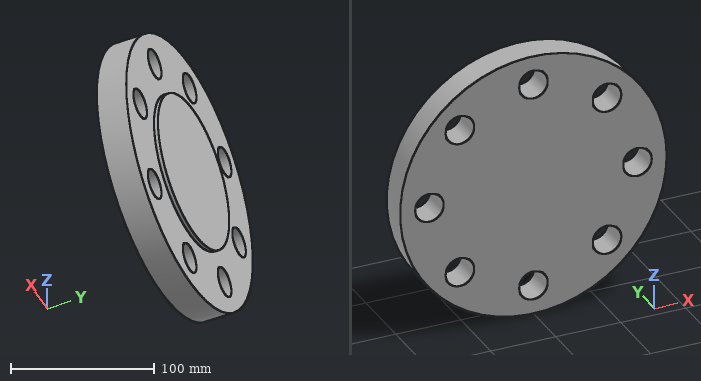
import cadquery as cq

flange_diameter = 205.0
total_thickness = 26.0
raised_face_height = 3.0
raised_face_diameter = 115.2
bolt_circle_diameter = 160.0
bolt_hole_diameter = 22.0
bolt_hole_count = 8

flange_thickness = total_thickness - raised_face_height


def disc(diameter, start_y, thickness):
    """Disc on the Y axis that grows toward +Y from start_y."""
    plane = cq.Workplane("XZ", origin=(0, start_y, 0))
    return plane.circle(diameter / 2).extrude(-thickness)


flange = disc(flange_diameter, 0, flange_thickness)
raised_face = disc(raised_face_diameter, flange_thickness, raised_face_height)

bolt_holes = (
    cq.Workplane("XZ")
    .polarArray(bolt_circle_diameter / 2, 0, 360, bolt_hole_count)
    .circle(bolt_hole_diameter / 2)
    .extrude(-flange_thickness)
)

result = flange.union(raised_face).cut(bolt_holes)